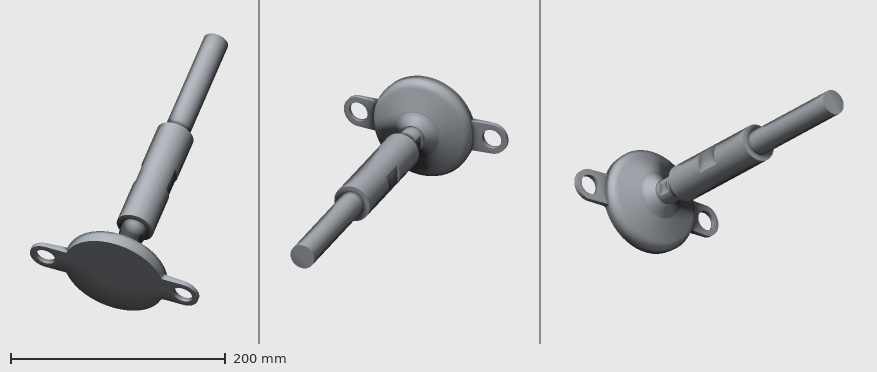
import cadquery as cq
import math

total_length = 290.0

foot_height = 32.8
foot_top_radius = 12.8
underside_radius = 49.3
rim_radius = 50.02
rim_bottom = 6.5
rim_top = 9.0
shoulder_radius = 43.5
shoulder_height = 16.2
shoulder_middle = (48.0, 13.0)
collar_bottom_radius = 22.3
collar_bottom = 24.0
collar_top_radius = 20.0
collar_top = 25.8

lug_span = 166.0
lug_width = 30.5
lug_hole_diameter = 19.0
lug_root_thickness = 6.0
lug_tip_thickness = 3.8
lug_hole_offset = (lug_span - lug_width) / 2
lug_fillet_radius = 3.0

rod_diameter = 24.0
rod_flat_width = 18.8
rod_flat_start = 36.8
rod_flat_length = 12.5
grip_diameter = 36.0
grip_start = 59.7
grip_length = 114.8
grip_flat_width = 30.2
grip_flat_length = 25.2
grip_flat_start = grip_start + (grip_length - grip_flat_length) / 2


def cylinder(diameter, start, length):
    """Cylinder along the Y axis from Y = start."""
    return cq.Workplane("XZ", origin=(0, start, 0)).circle(diameter / 2).extrude(-length)


def cut_wrench_flats(body, diameter, flat_width, start, length):
    """Cut a pair of flats facing +X and -X."""
    depth = (diameter - flat_width) / 2
    for side in (-1, 1):
        cutter = cq.Workplane("XY").box(depth, length, diameter).translate(
            (side * (flat_width + depth) / 2, start + length / 2, 0)
        )
        body = body.cut(cutter)
    return body


def make_dish():
    """Round foot with a rounded shoulder and a conical collar."""
    return (
        cq.Workplane("XY")
        .lineTo(underside_radius, 0)
        .lineTo(rim_radius, rim_bottom)
        .lineTo(rim_radius, rim_top)
        .threePointArc(shoulder_middle, (shoulder_radius, shoulder_height))
        .lineTo(collar_bottom_radius, collar_bottom)
        .lineTo(collar_top_radius, collar_top)
        .lineTo(foot_top_radius, foot_height)
        .lineTo(0, foot_height)
        .close()
        .revolve(360, (0, 0, 0), (0, 1, 0))
    )


def make_lugs():
    """Both rounded lugs as one strip whose upper face slopes down to the tips."""
    outline = cq.Workplane("XZ").slot2D(lug_span, lug_width).extrude(-lug_root_thickness)
    sloped_profile = (
        cq.Workplane("XY")
        .moveTo(-lug_span / 2, 0)
        .lineTo(lug_span / 2, 0)
        .lineTo(lug_span / 2, lug_tip_thickness)
        .lineTo(underside_radius, lug_root_thickness)
        .lineTo(-underside_radius, lug_root_thickness)
        .lineTo(-lug_span / 2, lug_tip_thickness)
        .close()
        .extrude(lug_width / 2, both=True)
    )
    holes = (
        cq.Workplane("XZ")
        .pushPoints([(-lug_hole_offset, 0), (lug_hole_offset, 0)])
        .circle(lug_hole_diameter / 2)
        .extrude(-lug_root_thickness)
    )
    return outline.intersect(sloped_profile).cut(holes)


def make_corner_fillet():
    """Gusset rounding the inner corner between the dish and the +Z side of the +X lug."""
    half_width = lug_width / 2
    centre_z = half_width + lug_fillet_radius
    centre_distance = underside_radius + lug_fillet_radius
    centre_x = math.sqrt(centre_distance**2 - centre_z**2)
    dish_tangent_share = underside_radius / centre_distance
    dish_tangent = (centre_x * dish_tangent_share, centre_z * dish_tangent_share)
    lug_tangent = (centre_x, half_width)
    middle_angle = (math.atan2(-centre_z, -centre_x) - math.pi / 2) / 2
    arc_middle = (
        centre_x + lug_fillet_radius * math.cos(middle_angle),
        centre_z + lug_fillet_radius * math.sin(middle_angle),
    )
    return (
        cq.Workplane("XZ")
        .moveTo(*dish_tangent)
        .threePointArc(arc_middle, lug_tangent)
        .lineTo(dish_tangent[0], half_width)
        .close()
        .extrude(-lug_root_thickness)
    )


def make_foot():
    """Dish with its lugs, the inner corners of the +X lug rounded."""
    corner_fillet = make_corner_fillet()
    foot = make_dish().union(make_lugs())
    return foot.union(corner_fillet).union(corner_fillet.mirror("XY"))


def make_spindle():
    spindle = cylinder(rod_diameter, foot_height, total_length - foot_height)
    spindle = spindle.union(cylinder(grip_diameter, grip_start, grip_length))
    spindle = cut_wrench_flats(spindle, rod_diameter, rod_flat_width, rod_flat_start, rod_flat_length)
    return cut_wrench_flats(spindle, grip_diameter, grip_flat_width, grip_flat_start, grip_flat_length)


foot = make_foot()
spindle = make_spindle()
result = cq.Compound.makeCompound([foot.val(), spindle.val()])